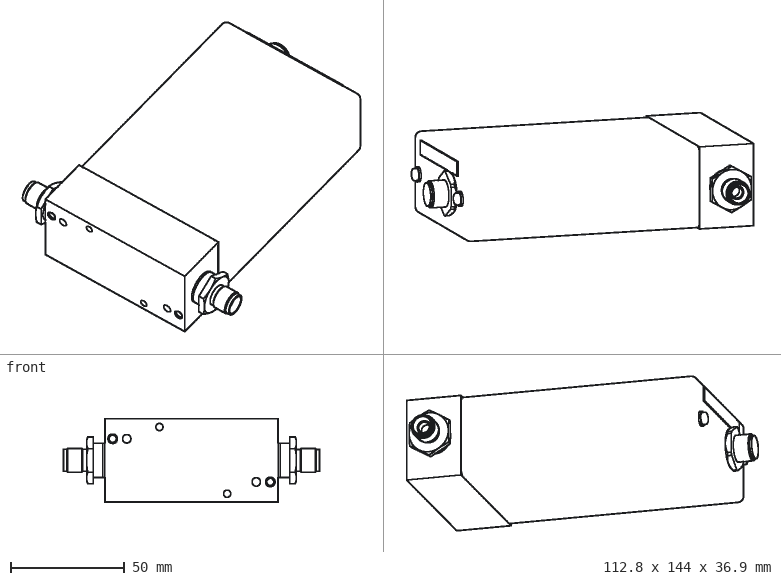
import cadquery as cq
import math


BLOCK_WIDTH = 76.3
BLOCK_DEPTH = 25.0
BLOCK_HEIGHT = 36.9

TAPPED_HOLE_X = 34.7
HOLE_PAIR_Z = 9.5
TAPPED_MOUTH_RADIUS = 4.2 / 2
TAPPED_BORE_RADIUS = 1.6
TAPPED_HOLE_DEPTH = 8.6
DRILL_POINT_ANGLE = 118.0

LOCATING_HOLE_X = 28.5
LOCATING_HOLE_DIAMETER = 3.7
LOCATING_HOLE_DEPTH = 8.6
SMALL_HOLE_Z = 14.7
UPPER_SMALL_HOLE_X = -14.1
LOWER_SMALL_HOLE_X = 15.7
SMALL_HOLE_DIAMETER = 3.2
SMALL_HOLE_DEPTH = 8.6

COVER_WIDTH = 75.5
COVER_HEIGHT = 36.7
COVER_BACK_Y = 133.0
COVER_FILLET = 2.9

PLATE_WIDTH = 52.4
PLATE_BOTTOM_Z = 9.5
PLATE_TOP_Z = 16.0
PLATE_THICKNESS = 0.6

HEX_ACROSS_FLATS = 18.0
HEX_CORNER_RADIUS = HEX_ACROSS_FLATS / math.sqrt(3)

CONNECTOR_X = -15.8
CONNECTOR_TIP_Y = 144.0
CONNECTOR_HEX_HEIGHT = 2.9
CONNECTOR_HEX_CORNER_RADIUS = 20.0 / 2
CONNECTOR_HEX_CHAMFER = 1.2
CONNECTOR_BARREL_RADIUS = 12.0 / 2
CONNECTOR_BARREL_CHAMFER = 0.6
CONNECTOR_TIP_RADIUS = 5.2
CONNECTOR_TIP_HEIGHT = 0.9

SCREW_X = 30.1
SCREW_FLANGE_RADIUS = 3.3
SCREW_FLANGE_HEIGHT = 0.9
SCREW_HEAD_RADIUS = 2.7
SCREW_RIM_HEIGHT = 2.0
SCREW_TOP_RADIUS = 1.7
SCREW_HEIGHT = 2.9

FITTING_Y = 12.7
SPAN_OVER_FITTINGS = 112.8
FITTING_LENGTH = (SPAN_OVER_FITTINGS - BLOCK_WIDTH) / 2
GASKET_THICKNESS = 0.9
BODY_RADIUS = 7.6
HEX_START = 5.0
HEX_END = 8.0
HEX_CHAMFER_HEIGHT = 0.6
NECK_RADIUS = 4.9
THREAD_RADIUS = 5.3
THREAD_START = 10.2
THREAD_END = 16.7
THREAD_CHAMFER = THREAD_RADIUS - NECK_RADIUS
FLARE_MOUTH_RADIUS = 4.2
FLARE_FLOOR_RADIUS = 3.0
FLARE_DEPTH = 2.9
BORE_RADIUS = 2.5
BORE_DEPTH = 7.2


def revolve_profile(points):
    """Turn a (radius, height) outline about the Z axis."""
    return cq.Workplane("XZ").polyline(points).close().revolve(360, (0, 0), (0, 1))


def make_block():
    block = cq.Workplane("XY").box(BLOCK_WIDTH, BLOCK_DEPTH, BLOCK_HEIGHT).translate((0, BLOCK_DEPTH / 2, 0))
    for side in (-1, 1):
        pair_z = -side * HOLE_PAIR_Z
        block = block.cut(tapped_hole().translate((side * TAPPED_HOLE_X, 0, pair_z)))
        locating_x = side * LOCATING_HOLE_X
        block = block.cut(plain_hole(locating_x, pair_z, LOCATING_HOLE_DIAMETER, LOCATING_HOLE_DEPTH))
    for x, z in ((UPPER_SMALL_HOLE_X, SMALL_HOLE_Z), (LOWER_SMALL_HOLE_X, -SMALL_HOLE_Z)):
        block = block.cut(plain_hole(x, z, SMALL_HOLE_DIAMETER, SMALL_HOLE_DEPTH))
    return block


def tapped_hole():
    """Cutter for a tapped hole, running from Y = 0 into the block."""
    countersink_depth = TAPPED_MOUTH_RADIUS - TAPPED_BORE_RADIUS
    point_height = TAPPED_BORE_RADIUS / math.tan(math.radians(DRILL_POINT_ANGLE / 2))
    cutter = revolve_profile([
        (0, 0),
        (TAPPED_MOUTH_RADIUS, 0),
        (TAPPED_BORE_RADIUS, countersink_depth),
        (TAPPED_BORE_RADIUS, TAPPED_HOLE_DEPTH),
        (0, TAPPED_HOLE_DEPTH + point_height),
    ])
    return point_along_y(cutter)


def plain_hole(x, z, diameter, depth):
    """Cutter for a flat-bottomed hole, running from Y = 0 into the block."""
    return point_along_y(cq.Workplane("XY").circle(diameter / 2).extrude(depth)).translate((x, 0, z))


def point_along_y(shape):
    """Turn a shape built up the Z axis so that it points along +Y."""
    return shape.rotate((0, 0, 0), (1, 0, 0), -90)


def make_cover():
    length = COVER_BACK_Y - BLOCK_DEPTH
    cover = cq.Workplane("XY").box(COVER_WIDTH, length, COVER_HEIGHT)
    cover = cover.edges("|Y or >Y").fillet(COVER_FILLET)
    return cover.translate((0, BLOCK_DEPTH + length / 2, 0))


def make_label_plate():
    height = PLATE_TOP_Z - PLATE_BOTTOM_Z
    plate = cq.Workplane("XY").box(PLATE_WIDTH, PLATE_THICKNESS, height)
    return plate.translate((0, COVER_BACK_Y + PLATE_THICKNESS / 2, PLATE_BOTTOM_Z + height / 2))


def hexagon(height):
    """Hexagonal prism standing on Z = 0 with two corners on the Y axis."""
    prism = cq.Workplane("XY").polygon(6, 2 * HEX_CORNER_RADIUS).extrude(height)
    return prism.rotate((0, 0, 0), (0, 0, 1), 30)


def make_connector():
    """Hexagonal flange, trimmed at its corners and bevelled underneath, with a barrel on top."""
    trim = revolve_profile([
        (0, 0),
        (CONNECTOR_HEX_CORNER_RADIUS - CONNECTOR_HEX_CHAMFER, 0),
        (CONNECTOR_HEX_CORNER_RADIUS, CONNECTOR_HEX_CHAMFER),
        (CONNECTOR_HEX_CORNER_RADIUS, CONNECTOR_HEX_HEIGHT),
        (0, CONNECTOR_HEX_HEIGHT),
    ])
    tip = CONNECTOR_TIP_Y - COVER_BACK_Y
    shoulder = tip - CONNECTOR_TIP_HEIGHT
    barrel = revolve_profile([
        (0, 0),
        (CONNECTOR_BARREL_RADIUS, 0),
        (CONNECTOR_BARREL_RADIUS, shoulder - CONNECTOR_BARREL_CHAMFER),
        (CONNECTOR_BARREL_RADIUS - CONNECTOR_BARREL_CHAMFER, shoulder),
        (CONNECTOR_TIP_RADIUS, shoulder),
        (CONNECTOR_TIP_RADIUS, tip),
        (0, tip),
    ])
    connector = hexagon(CONNECTOR_HEX_HEIGHT).intersect(trim).union(barrel)
    return point_along_y(connector).translate((CONNECTOR_X, COVER_BACK_Y, 0))


def make_screw(side):
    """Flanged screw head with a rounded crown."""
    crown_bulge = math.sqrt(0.5)
    crown_middle = (
        SCREW_TOP_RADIUS + crown_bulge * (SCREW_HEAD_RADIUS - SCREW_TOP_RADIUS),
        SCREW_RIM_HEIGHT + crown_bulge * (SCREW_HEIGHT - SCREW_RIM_HEIGHT),
    )
    head = (
        cq.Workplane("XZ")
        .lineTo(SCREW_FLANGE_RADIUS, 0)
        .lineTo(SCREW_FLANGE_RADIUS, SCREW_FLANGE_HEIGHT)
        .lineTo(SCREW_HEAD_RADIUS, SCREW_FLANGE_HEIGHT)
        .lineTo(SCREW_HEAD_RADIUS, SCREW_RIM_HEIGHT)
        .threePointArc(crown_middle, (SCREW_TOP_RADIUS, SCREW_HEIGHT))
        .lineTo(0, SCREW_HEIGHT)
        .close()
        .revolve(360, (0, 0), (0, 1))
    )
    return point_along_y(head).translate((side * SCREW_X, COVER_BACK_Y, 0))


def place_at_port(shape, side):
    """Turn a shape built up the Z axis outward along X and set it on a side of the block."""
    turned = shape.rotate((0, 0, 0), (0, 1, 0), side * 90)
    return turned.translate((side * BLOCK_WIDTH / 2, FITTING_Y, 0))


def make_gasket(side):
    return place_at_port(cq.Workplane("XY").circle(BODY_RADIUS).extrude(GASKET_THICKNESS), side)


def make_fitting(side):
    """Round body, bevelled hexagon and threaded nose with a flared bore."""
    body = cq.Workplane("XY").circle(BODY_RADIUS).extrude(HEX_START - GASKET_THICKNESS)
    body = body.translate((0, 0, GASKET_THICKNESS))
    hex_bevel = revolve_profile([
        (0, HEX_START),
        (HEX_CORNER_RADIUS, HEX_START),
        (HEX_CORNER_RADIUS, HEX_END - HEX_CHAMFER_HEIGHT),
        (HEX_ACROSS_FLATS / 2, HEX_END),
        (0, HEX_END),
    ])
    hexagonal_part = hexagon(HEX_END).rotate((0, 0, 0), (0, 0, 1), 90).intersect(hex_bevel)
    nose = revolve_profile([
        (0, HEX_START),
        (NECK_RADIUS, HEX_START),
        (NECK_RADIUS, THREAD_START - THREAD_CHAMFER),
        (THREAD_RADIUS, THREAD_START),
        (THREAD_RADIUS, THREAD_END - THREAD_CHAMFER),
        (NECK_RADIUS, THREAD_END),
        (NECK_RADIUS, FITTING_LENGTH),
        (0, FITTING_LENGTH),
    ])
    flared_bore = revolve_profile([
        (0, FITTING_LENGTH),
        (FLARE_MOUTH_RADIUS, FITTING_LENGTH),
        (FLARE_FLOOR_RADIUS, FITTING_LENGTH - FLARE_DEPTH),
        (BORE_RADIUS, FITTING_LENGTH - FLARE_DEPTH),
        (BORE_RADIUS, FITTING_LENGTH - BORE_DEPTH),
        (0, FITTING_LENGTH - BORE_DEPTH),
    ])
    fitting = body.union(hexagonal_part).union(nose).cut(flared_bore)
    return place_at_port(fitting, side)


bodies = [make_block(), make_cover(), make_label_plate(), make_connector()]
for side in (-1, 1):
    bodies += [make_screw(side), make_gasket(side), make_fitting(side)]

result = cq.Compound.makeCompound([body.val() for body in bodies])